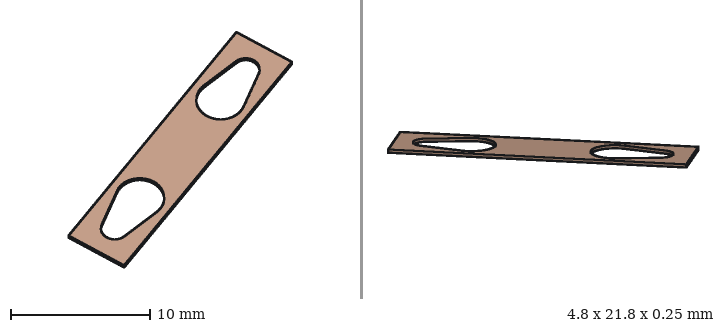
import cadquery as cq
import math

width = 4.8
length = 21.8
thickness = 0.25

large_radius = 1.75
small_radius = 1.0
end_spacing = 3.25
large_end_offset = 5.25


def keyhole():
    """Teardrop cutter with its small end pointing toward +Y."""
    small_end_offset = large_end_offset + end_spacing
    taper = math.asin((large_radius - small_radius) / end_spacing)
    side = math.cos(taper)
    rise = math.sin(taper)
    large_x = large_radius * side
    large_y = large_end_offset + large_radius * rise
    small_x = small_radius * side
    small_y = small_end_offset + small_radius * rise
    return (
        cq.Workplane("XY")
        .moveTo(large_x, large_y)
        .lineTo(small_x, small_y)
        .threePointArc((0, small_end_offset + small_radius), (-small_x, small_y))
        .lineTo(-large_x, large_y)
        .threePointArc((0, large_end_offset - large_radius), (large_x, large_y))
        .close()
        .extrude(thickness)
    )


result = cq.Workplane("XY").box(width, length, thickness, centered=(True, True, False))
for turn in (0, 180):
    result = result.cut(keyhole().rotate((0, 0, 0), (0, 0, 1), turn))